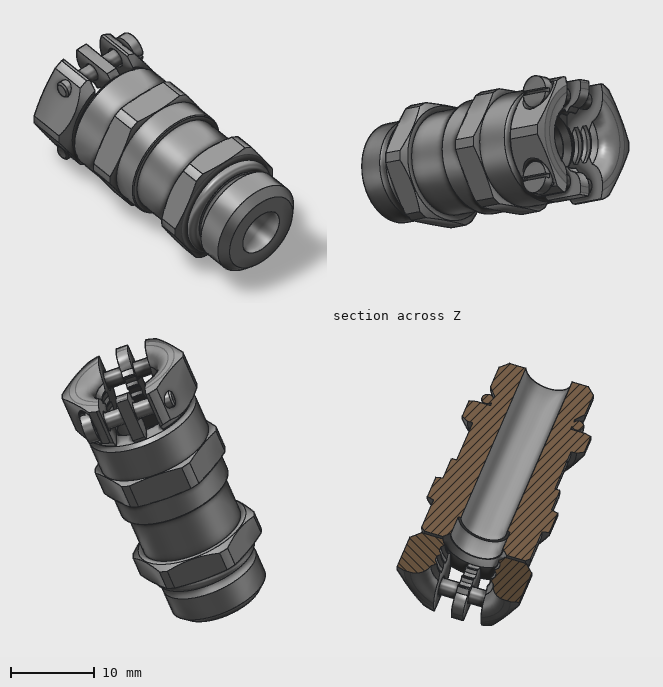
import cadquery as cq
import math

total_length = 32.5
across_flats = 13.98
corner_dia = 15.5
nut_chamfer_dia = 13.45
shallow_chamfer = math.tan(math.radians(15))
steep_chamfer = math.tan(math.radians(30))

jaw_length = 5.9
jaw_gap = 5.98
jaw_end_dia = 13.25

bell_dia = 11.9
bell_radius = 2.0
bell_length = 1.7
first_crest = 2.2
crest_dia = 6.8
valley_dia = 7.48
crest_width = 0.15
flank_length = 0.35
valley_width = 0.55
tooth_count = 3

screw_x = 2.75
screw_height = 5.2
shank_dia = 2.0
shank_end = -5.52
shank_chamfer = 0.23
head_dia = 3.8
head_seat = 4.45
head_thickness = 1.3
slot_width = 0.5
slot_depth = 0.65
tab_hole_dia = 2.2
jaw_hole_dia = 2.5
counterbore_dia = 4.42

body_start = 6.18
body_dia = 13.8
body_end = 17.22
body_chamfer = 0.5
body_edge = 0.13
tab_width = 1.45
tab_chamfer_start = 5.52
mouth_dia = 8.1
cone_end_dia = 6.7
socket_dia = 6.5
bore_dia = 5.82
socket_depth = 2.6
nut_start = 10.8
nut_end = 14.25
neck_dia = 12.5
collar_start = 22.88
collar_end = 26
collar_chamfer_dia = 13.8
groove_dia = 10.2
groove_end = 27.4
ring_section = 1.43
ring_outer_dia = 12.87
ring_center = 26.75
thread_start = 28.5
thread_dia = 12.02
thread_end_dia = 10.0
thread_chamfer = 0.98

corner_radius = corner_dia / 2
screw_heights = (screw_height, -screw_height)


def revolve_profile(sketch):
    """Revolve a closed (x, radius) profile about the X axis."""
    return sketch.close().revolve(360, (0, 0, 0), (1, 0, 0))


def cone_rise(start_dia, slope):
    """Axial length of a cone that grows from a diameter to the nut corners."""
    return (corner_dia - start_dia) / 2 * slope


def hexagon(start, end, start_dia, start_slope, end_dia, end_slope):
    """Hexagonal bar with flats at +Z and -Z, its corners turned down and chamfered at both ends."""
    bar = (
        cq.Workplane("YZ")
        .workplane(offset=start)
        .polygon(6, across_flats, circumscribed=True)
        .extrude(end - start)
        .rotate((0, 0, 0), (1, 0, 0), 30)
    )
    turned = revolve_profile(
        cq.Workplane("XY")
        .moveTo(start, 0)
        .lineTo(start, start_dia / 2)
        .lineTo(start + cone_rise(start_dia, start_slope), corner_radius)
        .lineTo(end - cone_rise(end_dia, end_slope), corner_radius)
        .lineTo(end, end_dia / 2)
        .lineTo(end, 0)
    )
    return bar.intersect(turned)


def slab(width, start, end):
    """Block centred on the axis, taller than the part in Z."""
    return cq.Workplane("XY").box(end - start, width, 2 * corner_dia).translate(((start + end) / 2, 0, 0))


def cylinder_along_y(diameter, start, end, z):
    """Cylinder parallel to Y through the screw axis at height z."""
    return (
        cq.Workplane("XZ", origin=(screw_x, start, z))
        .circle(diameter / 2)
        .extrude(start - end)
    )


def bell_mouth_radius(x):
    """Radius of the bell mouth at a depth x: a quarter-round tangent to the end face."""
    return bell_dia / 2 - math.sqrt(bell_radius**2 - (bell_radius - x) ** 2)


def clamp_bore():
    """Cutter for the bell mouth and the toothed gripping bore."""
    pitch = crest_width + 2 * flank_length + valley_width
    profile = (
        cq.Workplane("XY")
        .lineTo(0, bell_dia / 2)
        .threePointArc(
            (bell_length / 2, bell_mouth_radius(bell_length / 2)),
            (bell_length, bell_mouth_radius(bell_length)),
        )
    )
    for tooth in range(tooth_count):
        crest_start = first_crest + tooth * pitch
        crest_end = crest_start + crest_width
        valley_start = crest_end + flank_length
        profile = (
            profile.lineTo(crest_start, crest_dia / 2)
            .lineTo(crest_end, crest_dia / 2)
            .lineTo(valley_start, valley_dia / 2)
        )
        if tooth < tooth_count - 1:
            profile = profile.lineTo(valley_start + valley_width, valley_dia / 2)
    profile = profile.lineTo(body_start, mouth_dia / 2).lineTo(body_start, 0)
    return revolve_profile(profile)


bore_cutter = clamp_bore()


def make_screw(z):
    """Slotted cheese-head screw lying along Y."""
    shank = cylinder_along_y(shank_dia, shank_end, head_seat, z).faces("<Y").chamfer(shank_chamfer)
    head_top = head_seat + head_thickness
    head = cylinder_along_y(head_dia, head_seat, head_top, z)
    slot = cq.Workplane("XY").box(2 * head_dia, 2 * slot_depth, slot_width)
    return shank.union(head).cut(slot.translate((screw_x, head_top, z)))


def make_jaw(side):
    """One half of the split hexagonal clamp: side is +1 for the head side, -1 for the tip side."""
    clamp = hexagon(0, jaw_length, nut_chamfer_dia, shallow_chamfer, jaw_end_dia, 1).cut(bore_cutter)
    half = cq.Workplane("XY").box(2 * jaw_length, corner_dia, 2 * corner_dia)
    jaw = clamp.intersect(half.translate((0, side * (jaw_gap + corner_dia) / 2, 0)))
    for z in screw_heights:
        if side > 0:
            jaw = jaw.cut(cylinder_along_y(jaw_hole_dia, 0, corner_dia, z))
            jaw = jaw.cut(cylinder_along_y(counterbore_dia, head_seat, corner_dia, z))
        else:
            jaw = jaw.cut(make_screw(z))
    return jaw


def make_tabs():
    """Two flat tabs that stand between the jaws and carry the screws."""
    tabs_end = body_start + body_chamfer
    tabs_end_dia = across_flats - 2 * (tabs_end - tab_chamfer_start)
    outline = hexagon(0, tabs_end, nut_chamfer_dia, shallow_chamfer, tabs_end_dia, 1)
    tabs = outline.intersect(slab(tab_width, 0, tabs_end)).cut(bore_cutter)
    for z in screw_heights:
        tabs = tabs.cut(cylinder_along_y(tab_hole_dia, -tab_width, tab_width, z))
    return tabs


def make_ring():
    """Round sealing ring seated in the groove behind the collar."""
    ring_radius = ring_section / 2
    path_radius = ring_outer_dia / 2 - ring_radius
    section_plane = cq.Plane(origin=(ring_center, path_radius, 0), xDir=(0, -1, 0), normal=(0, 0, 1))
    return (
        cq.Workplane(section_plane)
        .circle(ring_radius)
        .revolve(360, (path_radius, 0, 0), (path_radius, 1, 0))
    )


def housing_bore():
    """Cutter for the entry cone, the socket and the through bore."""
    cone_end = body_start + (mouth_dia - cone_end_dia) / 2
    socket_end = cone_end + socket_depth
    return revolve_profile(
        cq.Workplane("XY")
        .moveTo(body_start, 0)
        .lineTo(body_start, mouth_dia / 2)
        .lineTo(cone_end, cone_end_dia / 2)
        .lineTo(cone_end, socket_dia / 2)
        .lineTo(socket_end, socket_dia / 2)
        .lineTo(socket_end, bore_dia / 2)
        .lineTo(total_length, bore_dia / 2)
        .lineTo(total_length, 0)
    )


def make_housing():
    """Gland body with its tabs, nut, collar, sealing ring and connection thread."""
    turned = revolve_profile(
        cq.Workplane("XY")
        .moveTo(body_start, 0)
        .lineTo(body_start, body_dia / 2 - body_chamfer)
        .lineTo(body_start + body_chamfer, body_dia / 2)
        .lineTo(body_end - body_edge, body_dia / 2)
        .lineTo(body_end, body_dia / 2 - body_edge)
        .lineTo(body_end, neck_dia / 2)
        .lineTo(collar_end, neck_dia / 2)
        .lineTo(collar_end, groove_dia / 2)
        .lineTo(groove_end, groove_dia / 2)
        .lineTo(thread_start, thread_dia / 2)
        .lineTo(total_length - thread_chamfer, thread_dia / 2)
        .lineTo(total_length, thread_end_dia / 2)
        .lineTo(total_length, 0)
    )
    nut = hexagon(nut_start, nut_end, body_dia, shallow_chamfer, body_dia, shallow_chamfer)
    collar = hexagon(
        collar_start, collar_end, collar_chamfer_dia, steep_chamfer, collar_chamfer_dia, shallow_chamfer
    )
    solid = turned.union(nut).union(collar).union(make_ring()).union(make_tabs())
    return solid.cut(housing_bore())


housing = make_housing()
jaws = [make_jaw(side) for side in (1, -1)]
screws = [make_screw(z) for z in screw_heights]

result = cq.Compound.makeCompound(
    [housing.val()] + [jaw.val() for jaw in jaws] + [screw.val() for screw in screws]
)